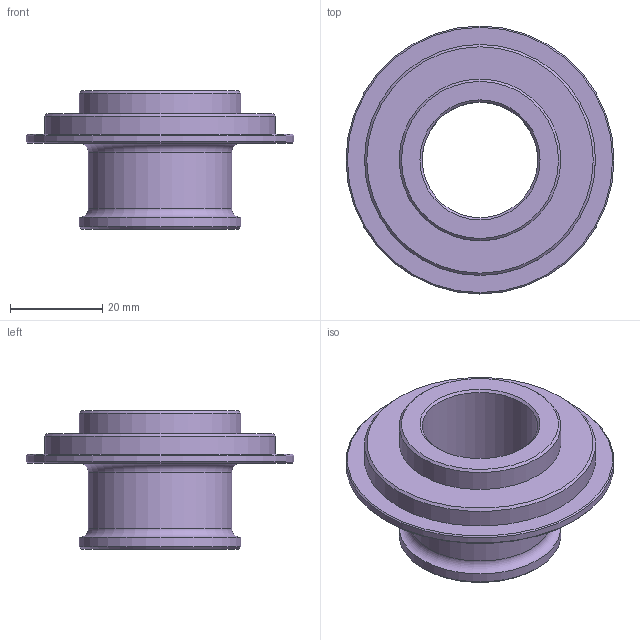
import cadquery as cq

bore_diameter = 25.0
neck_diameter = 31.0
hub_diameter = 35.0
step_diameter = 50.0
flange_diameter = 58.0

collar_height = 2.6
neck_height = 16.0
flange_height = 2.0
step_height = 4.4
hub_height = 5.0

neck_fillet = 2.0
edge_chamfer = 0.5
flange_chamfer = 0.3

neck_base = collar_height
flange_base = neck_base + neck_height
step_base = flange_base + flange_height
hub_base = step_base + step_height
total_height = hub_base + hub_height


def disc(diameter, height, base):
    """Round disc on the Z axis, standing on the given level."""
    return cq.Workplane("XY").workplane(offset=base).circle(diameter / 2).extrude(height)


def neck():
    """Neck between collar and flange, flaring into both with a concave quarter round."""
    neck_radius = neck_diameter / 2
    flare_radius = neck_radius + neck_fillet
    return (
        cq.Workplane("XZ")
        .moveTo(0, neck_base)
        .lineTo(flare_radius, neck_base)
        .radiusArc((neck_radius, neck_base + neck_fillet), neck_fillet)
        .lineTo(neck_radius, flange_base - neck_fillet)
        .radiusArc((flare_radius, flange_base), neck_fillet)
        .lineTo(0, flange_base)
        .close()
        .revolve(360, (0, 0, 0), (0, 1, 0))
    )


def bore():
    """Through bore with a chamfered mouth at both ends."""
    mouth_radius = bore_diameter / 2 + edge_chamfer
    return (
        cq.Workplane("XZ")
        .moveTo(0, 0)
        .lineTo(mouth_radius, 0)
        .lineTo(bore_diameter / 2, edge_chamfer)
        .lineTo(bore_diameter / 2, total_height - edge_chamfer)
        .lineTo(mouth_radius, total_height)
        .lineTo(0, total_height)
        .close()
        .revolve(360, (0, 0, 0), (0, 1, 0))
    )


collar = disc(hub_diameter, collar_height, 0).faces("<Z").chamfer(edge_chamfer)
flange = disc(flange_diameter, flange_height, flange_base).edges().chamfer(flange_chamfer)
step = disc(step_diameter, step_height, step_base).faces(">Z").chamfer(edge_chamfer)
hub = disc(hub_diameter, hub_height, hub_base).faces(">Z").chamfer(edge_chamfer)

result = collar.union(neck()).union(flange).union(step).union(hub).cut(bore())